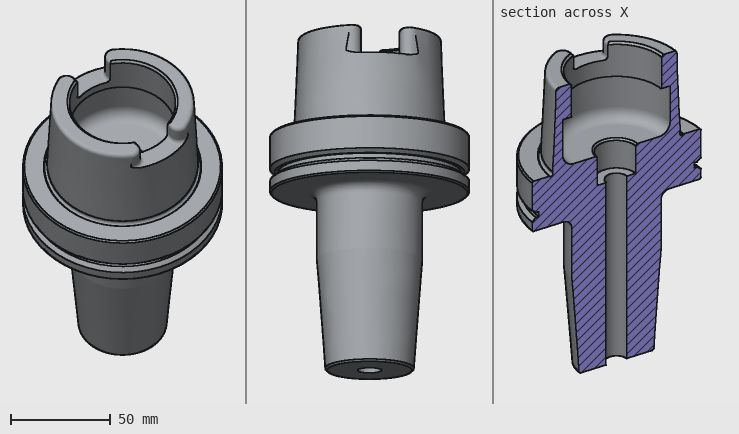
import cadquery as cq
import math

TOTAL_HEIGHT = 170.0
NECK_BOTTOM_Z = 57.0
FLANGE_BOTTOM_Z = 90.8
FLANGE_TOP_Z = 120.2

TIP_RADIUS = 22.3
TIP_CHAMFER = 1.0
NECK_RADIUS = 53.0 / 2
NECK_FILLET = 4.8

FLANGE_RADIUS = 100.0 / 2
FLANGE_CHAMFER = 0.8
GROOVE_RADIUS = 92.0 / 2
GROOVE_BOTTOM_Z = 98.6
GROOVE_TOP_Z = 101.3
GROOVE_LIP_DEPTH = 2.4
GROOVE_LIP_HEIGHT = 1.9

TAPER_BOTTOM_Z = 122.2
TAPER_BOTTOM_RADIUS = 37.9
TAPER_TOP_RADIUS = 71.5 / 2
RELIEF_RADIUS = 75.3 / 2
RELIEF_STEP = 0.3
ROOT_FILLET = 1.4
ROOT_RECESS_DEPTH = 0.7
ROOT_RECESS_RIM = 0.5
RIM_FILLET = 2.0

BORE_RADIUS = 53.0 / 2
BORE_CHAMFER = 1.2
UNDERCUT_RADIUS = 63.0 / 2
UNDERCUT_TOP_Z = 150.3
BORE_FLOOR_Z = 123.0
FLOOR_FILLET = 6.5
SEAT_RADIUS = 22.5 / 2
SEAT_MOUTH_RADIUS = 24.5 / 2
SEAT_DEPTH = 17.0
COOLANT_RADIUS = 12.0 / 2

SLOT_HALF_WIDTH = 10.0
SLOT_CORNER_X = 32.1
SLOT_CORNER_RADIUS = 4.8
SLOT_FLARE_ANGLE = 15.0
SLOT_FLARE_LENGTH = 10.2
SLOT_FLOOR_FILLET = 2.0
DEEP_SLOT_Z = 155.2
SHALLOW_SLOT_Z = 160.0


def outer_body():
    """Revolved outside of the part, with an uncut rim."""
    lip_root = FLANGE_RADIUS - GROOVE_LIP_DEPTH
    root_radius = RELIEF_RADIUS + ROOT_FILLET
    root_z = FLANGE_TOP_Z - ROOT_RECESS_DEPTH
    profile = (
        cq.Workplane("XZ")
        .moveTo(0, 0)
        .lineTo(TIP_RADIUS - TIP_CHAMFER, 0)
        .lineTo(TIP_RADIUS, TIP_CHAMFER)
        .lineTo(NECK_RADIUS, NECK_BOTTOM_Z)
        .lineTo(NECK_RADIUS, FLANGE_BOTTOM_Z - NECK_FILLET)
        .radiusArc((NECK_RADIUS + NECK_FILLET, FLANGE_BOTTOM_Z), NECK_FILLET)
        .lineTo(FLANGE_RADIUS - FLANGE_CHAMFER, FLANGE_BOTTOM_Z)
        .lineTo(FLANGE_RADIUS, FLANGE_BOTTOM_Z + FLANGE_CHAMFER)
        .lineTo(FLANGE_RADIUS, GROOVE_BOTTOM_Z - GROOVE_LIP_HEIGHT)
        .lineTo(lip_root, GROOVE_BOTTOM_Z)
        .lineTo(GROOVE_RADIUS, GROOVE_BOTTOM_Z)
        .lineTo(GROOVE_RADIUS, GROOVE_TOP_Z)
        .lineTo(lip_root, GROOVE_TOP_Z)
        .lineTo(FLANGE_RADIUS, GROOVE_TOP_Z + GROOVE_LIP_HEIGHT)
        .lineTo(FLANGE_RADIUS, FLANGE_TOP_Z - FLANGE_CHAMFER)
        .lineTo(FLANGE_RADIUS - FLANGE_CHAMFER, FLANGE_TOP_Z)
        .lineTo(root_radius + ROOT_RECESS_RIM, FLANGE_TOP_Z)
        .lineTo(root_radius, root_z)
        .radiusArc((RELIEF_RADIUS, root_z + ROOT_FILLET), ROOT_FILLET)
        .lineTo(RELIEF_RADIUS, TAPER_BOTTOM_Z - RELIEF_STEP)
        .lineTo(TAPER_BOTTOM_RADIUS, TAPER_BOTTOM_Z)
        .lineTo(TAPER_TOP_RADIUS, TOTAL_HEIGHT)
        .lineTo(0, TOTAL_HEIGHT)
        .close()
    )
    return profile.revolve(360, (0, 0, 0), (0, 1, 0))


def bore():
    """Revolved cutter for the bore, undercut, seat and coolant hole."""
    seat_chamfer = SEAT_MOUTH_RADIUS - SEAT_RADIUS
    profile = (
        cq.Workplane("XZ")
        .moveTo(0, 0)
        .lineTo(COOLANT_RADIUS, 0)
        .lineTo(COOLANT_RADIUS, BORE_FLOOR_Z - SEAT_DEPTH)
        .lineTo(SEAT_RADIUS, BORE_FLOOR_Z - SEAT_DEPTH)
        .lineTo(SEAT_RADIUS, BORE_FLOOR_Z - seat_chamfer)
        .lineTo(SEAT_MOUTH_RADIUS, BORE_FLOOR_Z)
        .lineTo(UNDERCUT_RADIUS - FLOOR_FILLET, BORE_FLOOR_Z)
        .radiusArc((UNDERCUT_RADIUS, BORE_FLOOR_Z + FLOOR_FILLET), -FLOOR_FILLET)
        .lineTo(UNDERCUT_RADIUS, UNDERCUT_TOP_Z)
        .lineTo(BORE_RADIUS, UNDERCUT_TOP_Z)
        .lineTo(BORE_RADIUS, TOTAL_HEIGHT - BORE_CHAMFER)
        .lineTo(BORE_RADIUS + BORE_CHAMFER, TOTAL_HEIGHT)
        .lineTo(0, TOTAL_HEIGHT)
        .close()
    )
    return profile.revolve(360, (0, 0, 0), (0, 1, 0))


def drive_slot(side, floor_z):
    """Cutter for one slot: straight walls, a round lug corner, then a flare out through the taper."""
    corner_x = SLOT_CORNER_X - SLOT_CORNER_RADIUS
    corner_y = SLOT_HALF_WIDTH + SLOT_CORNER_RADIUS
    flare = math.radians(SLOT_FLARE_ANGLE)
    arc_end_x = corner_x + SLOT_CORNER_RADIUS * math.cos(flare)
    arc_end_y = corner_y + SLOT_CORNER_RADIUS * math.sin(flare)
    flare_end_x = arc_end_x - SLOT_FLARE_LENGTH * math.sin(flare)
    flare_end_y = arc_end_y + SLOT_FLARE_LENGTH * math.cos(flare)
    half_slot = (
        cq.Workplane("XY", origin=(0, 0, floor_z))
        .lineTo(0, SLOT_HALF_WIDTH)
        .lineTo(corner_x, SLOT_HALF_WIDTH)
        .radiusArc((arc_end_x, arc_end_y), -SLOT_CORNER_RADIUS)
        .lineTo(flare_end_x, flare_end_y)
        .lineTo(FLANGE_RADIUS, flare_end_y)
        .lineTo(FLANGE_RADIUS, 0)
        .close()
        .extrude(TOTAL_HEIGHT - floor_z)
    )
    wall_edge = cq.selectors.NearestToPointSelector((corner_x / 2, SLOT_HALF_WIDTH, floor_z))
    half_slot = half_slot.edges(wall_edge).fillet(SLOT_FLOOR_FILLET)
    cutter = half_slot.union(half_slot.mirror("XZ"))
    if side < 0:
        cutter = cutter.mirror("YZ")
    return cutter


body = outer_body()
for side, floor_z in ((-1, DEEP_SLOT_Z), (1, SHALLOW_SLOT_Z)):
    body = body.cut(drive_slot(side, floor_z))
body = body.faces(">Z").edges().fillet(RIM_FILLET)
result = body.cut(bore())